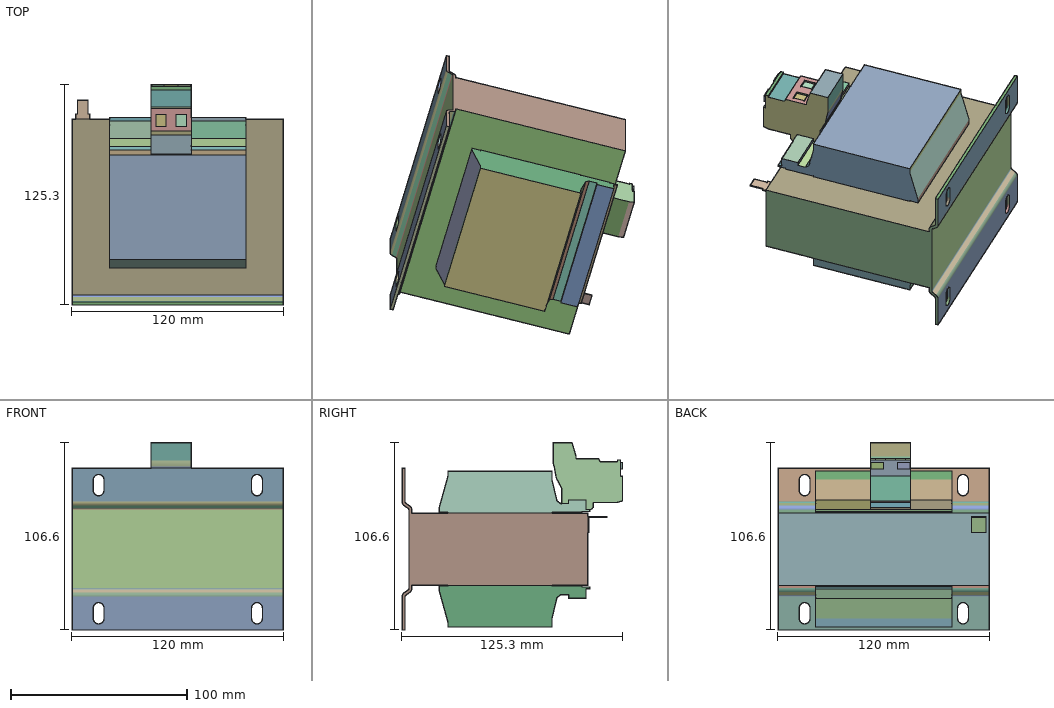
import cadquery as cq
import math


core_width = 120.0
core_depth = 100.0
core_half_height = 20.5

sheet = 1.75
bracket_half_height = 46.0
bracket_front = -5.6
bend_start = 22.3
bend_angle = 55.0
bend_inner_radius = 1.0
slot_width = 6.0
slot_length = 12.0
slot_x = 45.0
slot_z = 36.4

bobbin_width = 77.4
bobbin_half_height = 44.3
winding_front = 20.4
winding_back = 79.6
foot_front = 15.4
foot_height = 23.5
front_taper_top = 41.5
back_taper_top = 39.5
valley_z = 25.95
valley_front = 84.5
taper_foot_y = 82.45
taper_foot_z = 27.5
rail_front = 89.05
rail_back = 99.0
rail_top = 27.9
lip_back = 101.1
lip_top = 22.5
lip_bottom = 21.4
lip_start = 96.75
flange_gap = 0.4

block_width = 23.0
block_x = -3.8
block_top = 60.6
block_back = 119.65
tower_back = 91.0
tower_foot = 93.35
tower_foot_height = 1.2
tower_arc_start = (80.15, 50.2)
tower_arc_middle = (80.35, 48.4)
tower_arc_end = (80.8, 46.8)
tower_steep_end = (81.9, 40.6)
neck_front = 85.0
neck_top = 34.6
deck_z = 51.4
deck_back = 106.1
groove_z = 49.8
groove_front = 106.9
ridge_front = 116.7
ridge_z = 50.8
rear_face = 118.5
rear_step_z = 41.5
belly_z = 26.5
belly_chamfer_y = 3.0
belly_chamfer_z = 0.9
hook_back = 103.1
hook_chamfer = 1.3
window_width = 5.8
window_depth = 6.7
window_y = 99.25
window_x_offset = 5.7
window_recess = 1.0
bump_width = 7.0
bump_x_offset = 7.5
bump_bottom = 45.5
bump_top = 49.4

tab_sheet = 0.7
tab_x = -54.0
tab_base_width = 8.2
tab_base_back = 103.0
tab_pin_width = 6.1
tab_pin_back = 110.9
tab_top = 18.6
tab_bottom = 9.4


def extrude_along_x(profile, width, center_x=0.0):
    """Extrude a YZ profile by width, centred on center_x."""
    return profile.extrude(width / 2, both=True).translate((center_x, 0, 0))


def box(x_center, width, y_limits, z_limits):
    """Box centred on x_center between the given Y and Z limits."""
    depth = y_limits[1] - y_limits[0]
    height = z_limits[1] - z_limits[0]
    solid = cq.Workplane("XY").box(width, depth, height)
    return solid.translate((x_center, sum(y_limits) / 2, sum(z_limits) / 2))


def make_core():
    return box(0, core_width, (0, core_depth), (-core_half_height, core_half_height))


def round_corner(solid, y, z, radius):
    """Fillet the X-parallel edge that passes through (y, z)."""
    edge = cq.selectors.BoxSelector((-1, y - 0.1, z - 0.1), (1, y + 0.1, z + 0.1))
    return solid.edges("|X").edges(edge).fillet(radius)


def make_bracket():
    angle = math.radians(bend_angle)
    half_tangent = math.tan(angle / 2)
    flange_back = bracket_front + sheet
    slope_rise = -flange_back / math.tan(angle)

    web_front_z = bend_start + bend_inner_radius * half_tangent
    web_back_z = web_front_z + sheet * half_tangent
    flange_front_z = web_front_z + slope_rise
    flange_back_z = web_back_z + slope_rise
    upper_front = [
        (-sheet, web_front_z),
        (bracket_front, flange_front_z),
        (bracket_front, bracket_half_height),
    ]
    upper_back = [
        (flange_back, bracket_half_height),
        (flange_back, flange_back_z),
        (0, web_back_z),
    ]
    upper = upper_front + upper_back
    lower = [(y, -z) for y, z in reversed(upper)]
    bracket = extrude_along_x(cq.Workplane("YZ").polyline(upper + lower).close(), core_width)

    outer_radius = bend_inner_radius + sheet
    for side in (1, -1):
        bracket = round_corner(bracket, -sheet, side * web_front_z, bend_inner_radius)
        bracket = round_corner(bracket, 0, side * web_back_z, outer_radius)
        bracket = round_corner(bracket, bracket_front, side * flange_front_z, outer_radius)
        bracket = round_corner(bracket, flange_back, side * flange_back_z, bend_inner_radius)

    slots = (
        cq.Workplane("XZ", origin=(0, flange_back, 0))
        .rarray(2 * slot_x, 2 * slot_z, 2, 2)
        .slot2D(slot_length, slot_width, 90)
        .extrude(2 * sheet, both=True)
    )
    return bracket.cut(slots)


def make_bobbin_half():
    flange_bottom = core_half_height + flange_gap
    outline = [
        (winding_front, core_half_height),
        (winding_front, flange_bottom),
        (foot_front, flange_bottom),
        (foot_front, foot_height),
        (winding_front, front_taper_top),
        (winding_front, bobbin_half_height),
        (winding_back, bobbin_half_height),
        (winding_back, back_taper_top),
        (taper_foot_y, taper_foot_z),
        (valley_front, valley_z),
        (rail_front, valley_z),
        (rail_front, rail_top),
        (rail_back, rail_top),
        (rail_back, lip_top),
        (lip_back, lip_top),
        (lip_back, lip_bottom),
        (lip_start, lip_bottom),
        (lip_start, flange_bottom),
        (winding_back, flange_bottom),
        (winding_back, core_half_height),
    ]
    return extrude_along_x(cq.Workplane("YZ").polyline(outline).close(), bobbin_width)


def make_terminal_block():
    profile = (
        cq.Workplane("YZ")
        .moveTo(tower_arc_start[0], block_top)
        .lineTo(*tower_arc_start)
        .threePointArc(tower_arc_middle, tower_arc_end)
        .lineTo(*tower_steep_end)
        .lineTo(neck_front, neck_top)
        .lineTo(neck_front, valley_z)
        .lineTo(rail_front, valley_z)
        .lineTo(rail_front, rail_top)
        .lineTo(rail_back, rail_top)
        .lineTo(rail_back, lip_top)
        .lineTo(hook_back - hook_chamfer, lip_top)
        .lineTo(hook_back, lip_top + hook_chamfer)
        .lineTo(hook_back, belly_z)
        .lineTo(block_back - belly_chamfer_y, belly_z)
        .lineTo(block_back, belly_z + belly_chamfer_z)
        .lineTo(block_back, rear_step_z)
        .lineTo(rear_face, rear_step_z)
        .lineTo(rear_face, ridge_z)
        .lineTo(ridge_front, ridge_z)
        .lineTo(ridge_front, groove_z)
        .lineTo(groove_front, groove_z)
        .lineTo(deck_back, deck_z)
        .lineTo(tower_foot, deck_z)
        .lineTo(tower_foot, deck_z + tower_foot_height)
        .lineTo(tower_back, block_top)
        .close()
    )
    block = extrude_along_x(profile, block_width, block_x)

    window_y_limits = (window_y - window_depth / 2, window_y + window_depth / 2)
    for side in (-1, 1):
        window_x = block_x + side * window_x_offset
        block = block.cut(box(window_x, window_width, window_y_limits, (deck_z - window_recess, deck_z)))
        bump_x = block_x + side * bump_x_offset
        block = block.union(box(bump_x, bump_width, (rear_face, block_back), (bump_bottom, bump_top)))
    return block


def make_earth_tab():
    tab_underside = tab_top - tab_sheet
    leg = box(tab_x, tab_base_width, (core_depth, core_depth + tab_sheet), (tab_bottom, tab_top))
    base = box(tab_x, tab_base_width, (core_depth, tab_base_back), (tab_underside, tab_top))
    pin = box(tab_x, tab_pin_width, (core_depth, tab_pin_back), (tab_underside, tab_top))
    return leg.union(base).union(pin)


bobbin_half = make_bobbin_half()
result = (
    make_core()
    .union(make_bracket())
    .union(bobbin_half)
    .union(bobbin_half.mirror("XY"))
    .union(make_terminal_block())
    .union(make_earth_tab())
)